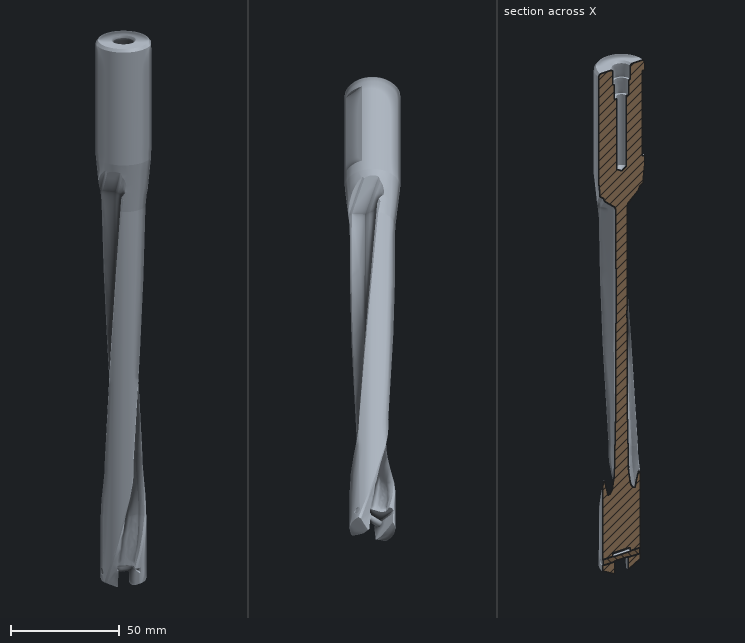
import cadquery as cq
import math

TOTAL_LENGTH = 268.2

SHANK_DIAMETER = 25.5
SHANK_BOTTOM = 211.5
SHANK_CHAMFER_WIDTH = 1.0
SHANK_CHAMFER_HEIGHT = 1.3
FLAT_OFFSET = 11.5
FLAT_BOTTOM = 217.3
FLAT_TOP = 262.3

SHANK_BORE_STEPS = [(9.5, 8.0), (7.5, 16.0), (5.0, 53.6)]
SHANK_BORE_MOUTH = 11.3
BORE_POINT_ANGLE = 118

BODY_DIAMETER = 21.0
BODY_TOP = 187.5
POINT_SHOULDER = 3.5
POINT_FLAT_DIAMETER = 8.0

FLUTE_COUNT = 2
UPPER_FLUTE_STATIONS = [(63.3, 51, 50, 3.2), (193.5, 104, 50, 3.2)]
MIDDLE_FLUTE_STATIONS = [
    (34.3, 19, 45, 3.2),
    (40.8, 30, 47, 3.2),
    (47.2, 40, 48, 3.2),
    (63.3, 51, 50, 3.2),
]
LOWER_FLUTE_STATIONS = [
    (-2.7, -57, 38, 3.8),
    (12.5, -22, 38, 4.3),
    (34.3, 19, 45, 3.2),
]
UPPER_FLUTE_STEPS = 4
FLOOR_LEFT = -2.0
FLOOR_RIGHT = 0.3
WALL_FOOT_INSET = 0.5
WALL_FOOT_RISE = 0.8
FLOOR_SAG = 0.3
LIP_BEVEL_DEPTH = 0.8
LIP_BEVEL_ANGLE = 4
CUTTER_RADIUS = 16.0
RUNOUT_HEIGHT = 17.5
RUNOUT_SHIFT_X = 13.5
RUNOUT_SHIFT_Y = -6.7

SLOT_WIDTH = 7.2
SLOT_TOP = 11.3
UNDERCUT_WIDTH = 9.0
UNDERCUT_HEIGHT = 2.5

PIN_DIAMETER = 3.2
PIN_LENGTH = 20.0
PIN_X = -0.8
PIN_HEIGHT = 8.0

BODY_RADIUS = BODY_DIAMETER / 2
SHANK_RADIUS = SHANK_DIAMETER / 2


def turned_blank():
    """Point, body, conical neck and chamfered shank as one revolved solid."""
    return (
        cq.Workplane("XZ")
        .polyline([
            (0, 0),
            (POINT_FLAT_DIAMETER / 2, 0),
            (BODY_RADIUS, POINT_SHOULDER),
            (BODY_RADIUS, BODY_TOP),
            (SHANK_RADIUS, SHANK_BOTTOM),
            (SHANK_RADIUS, TOTAL_LENGTH - SHANK_CHAMFER_HEIGHT),
            (SHANK_RADIUS - SHANK_CHAMFER_WIDTH, TOTAL_LENGTH),
            (0, TOTAL_LENGTH),
        ])
        .close()
        .revolve(360, (0, 0, 0), (0, 1, 0))
    )


def clamping_flat():
    """Block that cuts the flat on the +Y side of the shank."""
    return (
        cq.Workplane("XY", origin=(0, FLAT_OFFSET, FLAT_BOTTOM))
        .rect(SHANK_DIAMETER, SHANK_DIAMETER)
        .extrude(FLAT_TOP - FLAT_BOTTOM)
        .translate((0, SHANK_RADIUS, 0))
    )


def shank_bore():
    """Stepped bore with a 45 degree countersink at its mouth and a conical bottom."""
    first_diameter = SHANK_BORE_STEPS[0][0]
    mouth_depth = (SHANK_BORE_MOUTH - first_diameter) / 2
    outline = [
        (0, TOTAL_LENGTH),
        (SHANK_BORE_MOUTH / 2, TOTAL_LENGTH),
        (first_diameter / 2, TOTAL_LENGTH - mouth_depth),
    ]
    for index, (diameter, depth) in enumerate(SHANK_BORE_STEPS):
        if index > 0:
            outline.append((diameter / 2, outline[-1][1]))
        outline.append((diameter / 2, TOTAL_LENGTH - depth))
    last_radius, last_height = outline[-1]
    point_depth = last_radius / math.tan(math.radians(BORE_POINT_ANGLE / 2))
    outline.append((0, last_height - point_depth))
    return cq.Workplane("XZ").polyline(outline).close().revolve(360, (0, 0, 0), (0, 1, 0))


def flute_profile(height, direction, half_opening, core_radius, shift=(0, 0)):
    """Closed wire of the flute cross-section, turned to its direction at a height.

    It is laid out with the flute opening towards -Y, then turned about Z.
    A shift (x, y) moves the profile before it is turned.
    """
    def lip(radius, angle):
        turn = math.radians(angle)
        return (radius * math.sin(turn), -radius * math.cos(turn))

    inner_lip = BODY_RADIUS - LIP_BEVEL_DEPTH
    outer_angle = half_opening + LIP_BEVEL_ANGLE / 2
    outer_lip = BODY_RADIUS + LIP_BEVEL_DEPTH / 2
    right_lip = lip(inner_lip, half_opening - LIP_BEVEL_ANGLE)
    wall_foot = (right_lip[0] - WALL_FOOT_INSET, -core_radius - WALL_FOOT_RISE)
    floor_middle = ((FLOOR_RIGHT + wall_foot[0]) / 2, FLOOR_SAG - core_radius)
    profile = (
        cq.Workplane("XY")
        .moveTo(*lip(CUTTER_RADIUS, -outer_angle))
        .lineTo(*lip(outer_lip, -outer_angle))
        .lineTo(*lip(inner_lip, -half_opening + LIP_BEVEL_ANGLE))
        .lineTo(FLOOR_LEFT, -core_radius)
        .lineTo(FLOOR_RIGHT, -core_radius)
        .threePointArc(floor_middle, wall_foot)
        .lineTo(*right_lip)
        .lineTo(*lip(outer_lip, outer_angle))
        .lineTo(*lip(CUTTER_RADIUS, outer_angle))
        .threePointArc((0, -CUTTER_RADIUS), lip(CUTTER_RADIUS, -outer_angle))
        .close()
        .val()
    )
    return (
        profile.translate(cq.Vector(*shift, height))
        .rotate(cq.Vector(0, 0, 0), cq.Vector(0, 0, 1), direction - 90)
    )


def upper_flute():
    """Long stretch of the flute with an even twist."""
    start, end = UPPER_FLUTE_STATIONS
    profiles = []
    for step in range(UPPER_FLUTE_STEPS + 1):
        fraction = step / UPPER_FLUTE_STEPS
        station = [a + (b - a) * fraction for a, b in zip(start, end)]
        profiles.append(flute_profile(*station))
    return cq.Solid.makeLoft(profiles)


def fast_flute(stations):
    """Short stretch near the point, which twists faster and becomes narrower."""
    return cq.Solid.makeLoft([flute_profile(*station) for station in stations])


def flute_runout():
    """Upper end of the flute, where its floor rises out through the neck."""
    height, *section = UPPER_FLUTE_STATIONS[-1]
    start = flute_profile(height, *section)
    end = flute_profile(height + RUNOUT_HEIGHT, *section, (RUNOUT_SHIFT_X, RUNOUT_SHIFT_Y))
    return cq.Solid.makeLoft([start, end], True)


def blade_slot():
    """Slot along X through the point, with the undercut at its root."""
    slot = (
        cq.Workplane("XY")
        .box(SHANK_DIAMETER, SLOT_WIDTH, SLOT_TOP, centered=(True, True, False))
    )
    undercut = (
        cq.Workplane("XY", origin=(0, 0, SLOT_TOP - UNDERCUT_HEIGHT))
        .box(SHANK_DIAMETER, UNDERCUT_WIDTH, UNDERCUT_HEIGHT, centered=(True, True, False))
    )
    return slot.union(undercut)


def pin_cylinder(length):
    """Cylinder along Y on the axis of the cross pin, centred on the slot."""
    return (
        cq.Workplane("XZ", origin=(PIN_X, length / 2, PIN_HEIGHT))
        .circle(PIN_DIAMETER / 2)
        .extrude(length)
    )


def drill_holder():
    """Drill body with flutes, blade slot, shank bore and pin hole."""
    holder = turned_blank().cut(clamping_flat()).cut(shank_bore())
    cutters = [
        upper_flute(),
        fast_flute(MIDDLE_FLUTE_STATIONS),
        fast_flute(LOWER_FLUTE_STATIONS),
        flute_runout(),
    ]
    for cutter in cutters:
        for index in range(FLUTE_COUNT):
            turn = index * 360 / FLUTE_COUNT
            holder = holder.cut(cq.Workplane(cutter.rotate((0, 0, 0), (0, 0, 1), turn)))
    return holder.cut(blade_slot()).cut(pin_cylinder(SHANK_DIAMETER))


holder = drill_holder()
cross_pin = pin_cylinder(PIN_LENGTH)

result = cq.Compound.makeCompound([*holder.solids().vals(), cross_pin.val()])